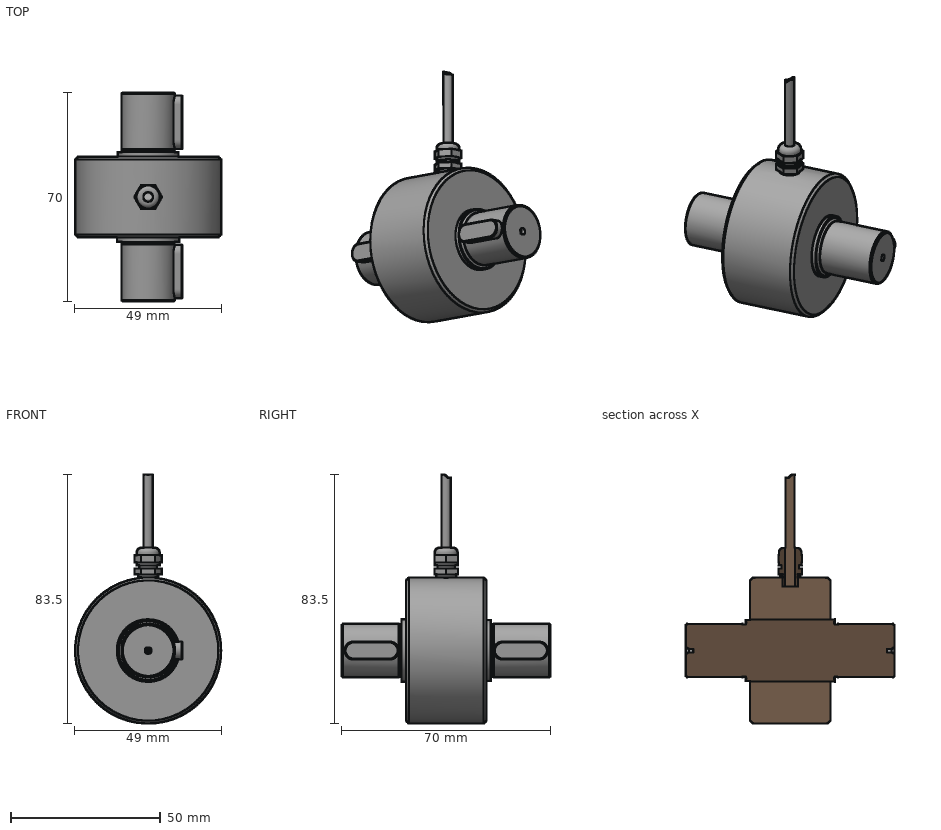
import cadquery as cq
import math


HOUSING_DIAMETER = 49.0
HOUSING_LENGTH = 27.0
HOUSING_CHAMFER = 1.0
HOUSING_RADIUS = HOUSING_DIAMETER / 2
HOUSING_HALF = HOUSING_LENGTH / 2

SHAFT_LENGTH = 70.0
SHAFT_DIAMETER = 18.0
SHAFT_CHAMFER = 0.5
FRONT_COLLAR_DIAMETER = 21.0
REAR_COLLAR_DIAMETER = 20.5
COLLAR_LENGTH = 1.5
SHAFT_HALF = SHAFT_LENGTH / 2
SHAFT_RADIUS = SHAFT_DIAMETER / 2
COLLAR_END = HOUSING_HALF + COLLAR_LENGTH

NECK_RADIUS = 17.6 / 2
UNDERCUT_ARC = 0.6
UNDERCUT_DEPTH = 0.2
UNDERCUT_LENGTH = 1.0
UNDERCUT_RAMP = 0.3

CENTRE_HOLE_DIAMETER = 1.0
CENTRE_CONE_DIAMETER = 2.2
CENTRE_CONE_ANGLE = 60.0
CENTRE_HOLE_DEPTH = 2.5

KEY_WIDTH = 6.0
KEY_HEIGHT = 6.0
KEY_LENGTH = 18.0
KEY_CHAMFER = 0.25
KEYWAY_DEPTH = 3.5
KEY_END_GAP = 1.0
KEY_BASE = SHAFT_RADIUS - KEYWAY_DEPTH
KEY_CENTRE = SHAFT_HALF - KEY_END_GAP - KEY_LENGTH / 2

ORING_INNER_DIAMETER = 4.92
ORING_THICKNESS = 1.0

GLAND_ACROSS_FLATS = 8.0
GLAND_ROUND_DIAMETER = 7.8
GLAND_NECK_DIAMETER = 6.0
GLAND_STUB_LENGTH = 4.0
LOWER_HEX_HEIGHT = 2.0
GLAND_NECK_HEIGHT = 1.0
SKIRT_HEIGHT = 1.0
UPPER_HEX_HEIGHT = 2.5
CAP_HEIGHT = 2.5
CAP_FILLET = 1.8
LOWER_HEX_BASE = HOUSING_RADIUS + ORING_THICKNESS
NECK_BASE = LOWER_HEX_BASE + LOWER_HEX_HEIGHT
SKIRT_BASE = NECK_BASE + GLAND_NECK_HEIGHT
UPPER_HEX_BASE = SKIRT_BASE + SKIRT_HEIGHT
CAP_BASE = UPPER_HEX_BASE + UPPER_HEX_HEIGHT
STUB_BASE = LOWER_HEX_BASE - GLAND_STUB_LENGTH

CABLE_DIAMETER = 3.2
CABLE_TOP = 59.03
BREAK_HEIGHT = 1.2
BREAK_REACH = 0.95
BREAK_CURL = 0.15
CABLE_RADIUS = CABLE_DIAMETER / 2


def disc(diameter, base, height):
    """Upright cylinder on the Z axis."""
    return cq.Workplane("XY").workplane(offset=base).circle(diameter / 2).extrude(height)


def along_y(diameter, half_length):
    """Cylinder on the Y axis, centred on the origin."""
    face = cq.Workplane("XZ").workplane(offset=-half_length).circle(diameter / 2)
    return face.extrude(2 * half_length)


def make_housing():
    """Chamfered drum with a shaft bore and a blind hole for the gland stub."""
    drum = along_y(HOUSING_DIAMETER, HOUSING_HALF).faces("<Y or >Y").chamfer(HOUSING_CHAMFER)
    bore = along_y(REAR_COLLAR_DIAMETER, HOUSING_HALF)
    stub_hole = disc(ORING_INNER_DIAMETER, STUB_BASE, GLAND_STUB_LENGTH)
    return drum.cut(bore).cut(stub_hole)


def shaft_end(collar_diameter):
    """Collar and shaft end beyond the +Y housing face, turned about the Y axis."""
    collar_radius = collar_diameter / 2

    arc_radius_centre = NECK_RADIUS + UNDERCUT_ARC
    arc_y_centre = COLLAR_END - UNDERCUT_DEPTH + UNDERCUT_ARC
    face_half_chord = math.sqrt(UNDERCUT_ARC**2 - (arc_y_centre - COLLAR_END) ** 2)
    undercut_end = COLLAR_END + UNDERCUT_LENGTH

    hole_radius = CENTRE_HOLE_DIAMETER / 2
    cone_radius = CENTRE_CONE_DIAMETER / 2
    cone_depth = (cone_radius - hole_radius) / math.tan(math.radians(CENTRE_CONE_ANGLE / 2))

    profile = (
        cq.Workplane("XY")
        .moveTo(0, HOUSING_HALF)
        .lineTo(collar_radius, HOUSING_HALF)
        .lineTo(collar_radius, COLLAR_END)
        .lineTo(arc_radius_centre + face_half_chord, COLLAR_END)
        .threePointArc(
            (arc_radius_centre, arc_y_centre - UNDERCUT_ARC),
            (NECK_RADIUS, arc_y_centre),
        )
        .lineTo(NECK_RADIUS, undercut_end - UNDERCUT_RAMP)
        .lineTo(SHAFT_RADIUS, undercut_end)
        .lineTo(SHAFT_RADIUS, SHAFT_HALF - SHAFT_CHAMFER)
        .lineTo(SHAFT_RADIUS - SHAFT_CHAMFER, SHAFT_HALF)
        .lineTo(cone_radius, SHAFT_HALF)
        .lineTo(hole_radius, SHAFT_HALF - cone_depth)
        .lineTo(hole_radius, SHAFT_HALF - CENTRE_HOLE_DEPTH)
        .lineTo(0, SHAFT_HALF - CENTRE_HOLE_DEPTH)
        .close()
    )
    return profile.revolve(360, (0, 0, 0), (0, 1, 0))


def key_blank(side):
    """Round-ended bar filling a keyway; side is -1 for the front end, +1 for the rear."""
    return (
        cq.Workplane("YZ")
        .workplane(offset=KEY_BASE)
        .center(side * KEY_CENTRE, 0)
        .slot2D(KEY_LENGTH, KEY_WIDTH)
        .extrude(KEY_HEIGHT)
    )


def make_key(side):
    """Key with its outer edge broken."""
    return key_blank(side).faces(">X").chamfer(KEY_CHAMFER)


def make_shaft():
    """Core through the housing and both shaft ends in one piece, with a keyway in each end."""
    core = along_y(REAR_COLLAR_DIAMETER, HOUSING_HALF)
    rear = shaft_end(REAR_COLLAR_DIAMETER)
    front = shaft_end(FRONT_COLLAR_DIAMETER).mirror("XZ")
    shaft = core.union(rear).union(front)
    for side in (-1, 1):
        shaft = shaft.cut(key_blank(side))
    return shaft


def make_oring():
    """O-ring lying on the top of the housing around the gland stub."""
    section_radius = ORING_THICKNESS / 2
    ring_radius = ORING_INNER_DIAMETER / 2 + section_radius
    return (
        cq.Workplane("XZ")
        .center(ring_radius, HOUSING_RADIUS + section_radius)
        .circle(section_radius)
        .revolve(360, (-ring_radius, 0, 0), (-ring_radius, 1, 0))
    )


def gland_hex(base, height):
    """Hexagon with two corners on the X axis."""
    across_corners = GLAND_ACROSS_FLATS / math.cos(math.radians(30))
    return cq.Workplane("XY").workplane(offset=base).polygon(6, across_corners).extrude(height)


def make_gland():
    """Stub, two hexagons, neck, skirt and domed cap, bored for the cable."""
    cap = disc(GLAND_ROUND_DIAMETER, CAP_BASE, CAP_HEIGHT).faces(">Z").edges().fillet(CAP_FILLET)
    gland = (
        disc(ORING_INNER_DIAMETER, STUB_BASE, GLAND_STUB_LENGTH)
        .union(gland_hex(LOWER_HEX_BASE, LOWER_HEX_HEIGHT))
        .union(disc(GLAND_NECK_DIAMETER, NECK_BASE, GLAND_NECK_HEIGHT))
        .union(disc(GLAND_ROUND_DIAMETER, SKIRT_BASE, SKIRT_HEIGHT))
        .union(gland_hex(UPPER_HEX_BASE, UPPER_HEX_HEIGHT))
        .union(cap)
    )
    cable_bore = disc(CABLE_DIAMETER, STUB_BASE, CAP_BASE + CAP_HEIGHT - STUB_BASE)
    return gland.cut(cable_bore)


def make_cable():
    """Straight cable whose top is cut along an S: a crest on -Y and a trough on +Y."""
    trough = CABLE_TOP - BREAK_HEIGHT
    wave = [
        (-CABLE_RADIUS, CABLE_TOP - BREAK_CURL),
        (-BREAK_REACH, CABLE_TOP),
        (BREAK_REACH, trough),
        (CABLE_RADIUS, trough + BREAK_CURL),
    ]
    end_direction = (CABLE_RADIUS - BREAK_REACH, 2 * BREAK_CURL)
    level = (1, 0)
    outline = (
        cq.Workplane("YZ")
        .workplane(offset=-CABLE_RADIUS)
        .moveTo(-CABLE_RADIUS, STUB_BASE)
        .lineTo(*wave[0])
        .spline(wave[1:], tangents=[end_direction, level, level, end_direction], includeCurrent=True)
        .lineTo(CABLE_RADIUS, STUB_BASE)
        .close()
        .extrude(CABLE_DIAMETER)
    )
    return disc(CABLE_DIAMETER, STUB_BASE, CABLE_TOP - STUB_BASE).intersect(outline)


housing = make_housing()
shaft = make_shaft()
keys = [make_key(side) for side in (-1, 1)]
oring = make_oring()
gland = make_gland()
cable = make_cable()

result = cq.Compound.makeCompound(
    [
        housing.val(),
        shaft.val(),
        *[key.val() for key in keys],
        oring.val(),
        gland.val(),
        cable.val(),
    ]
)